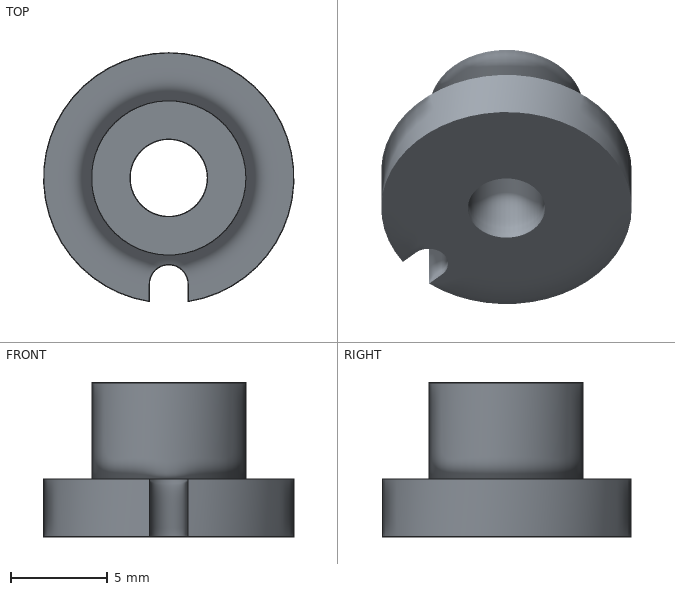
import cadquery as cq

flange_diameter = 12.98
flange_height = 3.0
hub_diameter = 8.0
total_height = 8.0
bore_diameter = hub_diameter / 2
notch_width = 2.0
notch_round_center = 5.5


def make_body():
    """Round flange with a coaxial hub standing on it."""
    flange = cq.Workplane("XY").circle(flange_diameter / 2).extrude(flange_height)
    hub = cq.Workplane("XY").circle(hub_diameter / 2).extrude(total_height)
    return flange.union(hub)


def make_bore():
    """Through hole along the part axis."""
    return cq.Workplane("XY").circle(bore_diameter / 2).extrude(total_height)


def make_notch():
    """Round-ended slot through the flange, open at the -Y rim."""
    half_width = notch_width / 2
    rim_y = -flange_diameter / 2
    return (
        cq.Workplane("XY")
        .moveTo(-half_width, rim_y)
        .lineTo(-half_width, -notch_round_center)
        .threePointArc((0, half_width - notch_round_center), (half_width, -notch_round_center))
        .lineTo(half_width, rim_y)
        .close()
        .extrude(flange_height)
    )


result = make_body().cut(make_bore()).cut(make_notch())